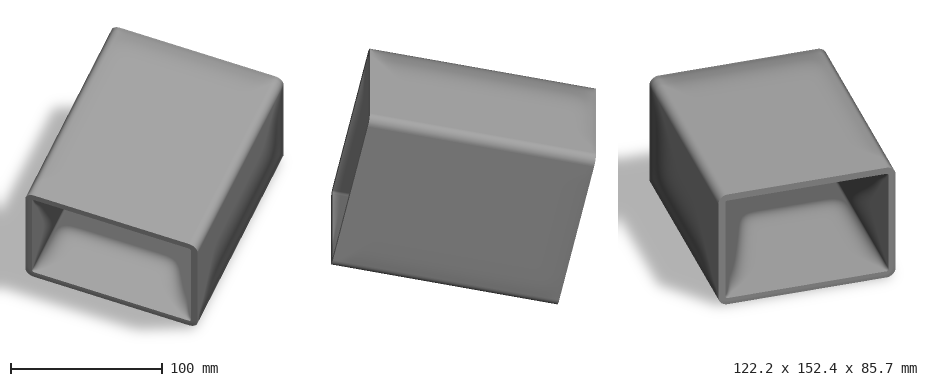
import cadquery as cq

width = 122.25
length = 152.4
height = 85.725
wall = 4.7625
outer_radius = 6.35
inner_radius = outer_radius - wall


def rounded_bar(bar_width, bar_height, corner_radius):
    """Solid bar along the tube length with rounded lengthwise edges."""
    bar = cq.Workplane("XY").box(bar_width, length, bar_height)
    return bar.edges("|Y").fillet(corner_radius)


outer_body = rounded_bar(width, height, outer_radius)
bore = rounded_bar(width - 2 * wall, height - 2 * wall, inner_radius)

result = outer_body.cut(bore)